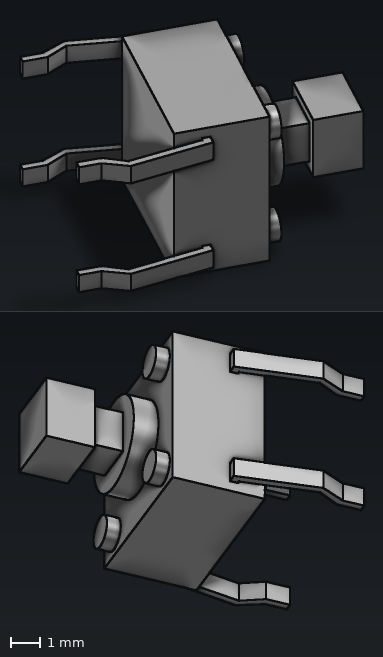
import cadquery as cq

housing_side = 6.0
housing_depth = 3.4
housing_top_y = housing_depth

post_diameter = 1.2
post_height = 0.51
post_offset = 2.15

collar_diameter = 3.5
collar_height = 0.91
stem_side = 1.6
stem_length = 1.2
head_side = 2.4

overall_length = 10.8
overall_width = 7.7
lead_width = 0.72
lead_thickness = 0.3
lead_center_z = 2.25
lead_reach = 3.5
lead_root_y = 1.3
lead_shoulder_x = 3.35
lead_inner_shoulder_x = 3.1
lead_tip_x = 3.4
lead_elbow_y = -1.79
lead_tip_bend_y = -2.7
lead_inner_tip_bend_y = -2.6

head_length = overall_length - lead_reach - housing_depth - collar_height - stem_length


def y_plane(y):
    """Plane facing +Y at the given height, with its x axis along X."""
    return cq.Workplane("XZ", origin=(0, y, 0)).workplane(invert=True)


def make_lead(side, center_z):
    """Bent flat lead on the +X (side = 1) or -X (side = -1) wall."""
    wall_x = housing_side / 2
    elbow_x = overall_width / 2
    outer_edge = [
        (wall_x, lead_root_y),
        (lead_shoulder_x, lead_root_y),
        (elbow_x, lead_elbow_y),
        (lead_tip_x, lead_tip_bend_y),
        (lead_tip_x, -lead_reach),
    ]
    inner_edge = [
        (lead_tip_x - lead_thickness, -lead_reach),
        (lead_tip_x - lead_thickness, lead_inner_tip_bend_y),
        (elbow_x - lead_thickness, lead_elbow_y),
        (lead_inner_shoulder_x, lead_root_y - lead_thickness),
        (wall_x, lead_root_y - lead_thickness),
    ]
    outline = [(side * x, y) for x, y in outer_edge + inner_edge]
    return (
        cq.Workplane("XY", origin=(0, 0, center_z))
        .polyline(outline)
        .close()
        .extrude(lead_width / 2, both=True)
    )


def make_housing():
    """Housing block with its corner posts and four leads."""
    block = y_plane(0).rect(housing_side, housing_side).extrude(housing_depth)
    posts = (
        y_plane(housing_top_y)
        .rect(2 * post_offset, 2 * post_offset, forConstruction=True)
        .vertices()
        .circle(post_diameter / 2)
        .extrude(post_height)
    )
    body = block.union(posts)
    for side in (-1, 1):
        for center_z in (-lead_center_z, lead_center_z):
            body = body.union(make_lead(side, center_z))
    return body


def make_plunger():
    """Plunger standing on the housing: collar, stem and head."""
    stem_y = housing_top_y + collar_height
    head_y = stem_y + stem_length
    collar = y_plane(housing_top_y).circle(collar_diameter / 2).extrude(collar_height)
    stem = y_plane(stem_y).rect(stem_side, stem_side).extrude(stem_length)
    head = y_plane(head_y).rect(head_side, head_side).extrude(head_length)
    return collar.union(stem).union(head)


housing = make_housing()
plunger = make_plunger()
result = cq.Compound.makeCompound([housing.val(), plunger.val()])